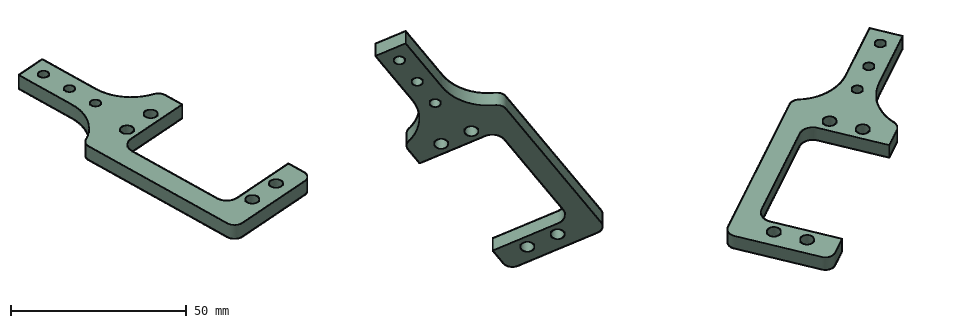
import cadquery as cq
import math

length = 93.5
width = 32.35
thickness = 5.0
half_width = width / 2

arm_width = 10.0
half_arm = arm_width / 2
arm_straight_length = 20.5
neck_radius = 15.0
corner_radius = 3.0

slot_left = 43.7
slot_width = 40.8
web_width = 6.7
slot_floor = web_width - half_width
slot_corner_radius = 4.0

arm_hole_diameter = 3.2
arm_hole_count = 3
arm_hole_pitch = 10.0
arm_hole_end_margin = 5.0

mount_hole_diameter = 4.0
mount_hole_spacing_x = 48.2
mount_hole_spacing_y = 10.0
mount_hole_edge_margin = 9.3
slot_center_x = slot_left + slot_width / 2


def point_on_circle(center, radius, angle):
    return (center[0] + radius * math.cos(angle), center[1] + radius * math.sin(angle))


def mirrored(point):
    """Reflect a point across the arm centre line."""
    return (point[0], -point[1])


def make_plate():
    """Plate outline: straight arm, concave neck arcs and rounded body corners."""
    neck_center = (arm_straight_length, half_arm + neck_radius)
    shoulder_y = half_width - corner_radius
    center_distance = neck_radius + corner_radius
    tangent_angle = math.asin((shoulder_y - neck_center[1]) / center_distance)
    shoulder_center = point_on_circle(neck_center, center_distance, tangent_angle)

    neck_start = (arm_straight_length, half_arm)
    neck_mid = point_on_circle(neck_center, neck_radius, (tangent_angle - math.pi / 2) / 2)
    neck_end = point_on_circle(neck_center, neck_radius, tangent_angle)
    shoulder_mid_angle = (tangent_angle + math.pi + math.pi / 2) / 2
    shoulder_mid = point_on_circle(shoulder_center, corner_radius, shoulder_mid_angle)
    shoulder_end = (shoulder_center[0], half_width)

    outline = (
        cq.Workplane("XY")
        .moveTo(0, half_arm)
        .lineTo(*neck_start)
        .threePointArc(neck_mid, neck_end)
        .threePointArc(shoulder_mid, shoulder_end)
        .lineTo(length, half_width)
        .lineTo(length, -half_width)
        .lineTo(*mirrored(shoulder_end))
        .threePointArc(mirrored(shoulder_mid), mirrored(neck_end))
        .threePointArc(mirrored(neck_mid), mirrored(neck_start))
        .lineTo(0, -half_arm)
        .close()
    )
    plate = outline.extrude(thickness)
    far_corners = plate.faces(">X").edges("|Z")
    return far_corners.fillet(corner_radius)


def make_slot():
    """Rectangular cutter with rounded inner corners, reaching the +Y plate edge."""
    slot_depth = half_width - slot_floor
    block = cq.Workplane("XY").box(slot_width, slot_depth, thickness, centered=False)
    block = block.translate((slot_left, slot_floor, 0))
    return block.faces("<Y").edges("|Z").fillet(slot_corner_radius)


def make_holes(centers, diameter):
    """Through-hole cutters at the given centres."""
    return cq.Workplane("XY").pushPoints(centers).circle(diameter / 2).extrude(thickness)


arm_hole_centers = [
    (arm_hole_end_margin + index * arm_hole_pitch, 0)
    for index in range(arm_hole_count)
]

upper_mount_hole_y = half_width - mount_hole_edge_margin
mount_hole_centers = [
    (slot_center_x + side * mount_hole_spacing_x / 2, upper_mount_hole_y - row * mount_hole_spacing_y)
    for side in (-1, 1)
    for row in (0, 1)
]

result = (
    make_plate()
    .cut(make_slot())
    .cut(make_holes(arm_hole_centers, arm_hole_diameter))
    .cut(make_holes(mount_hole_centers, mount_hole_diameter))
)